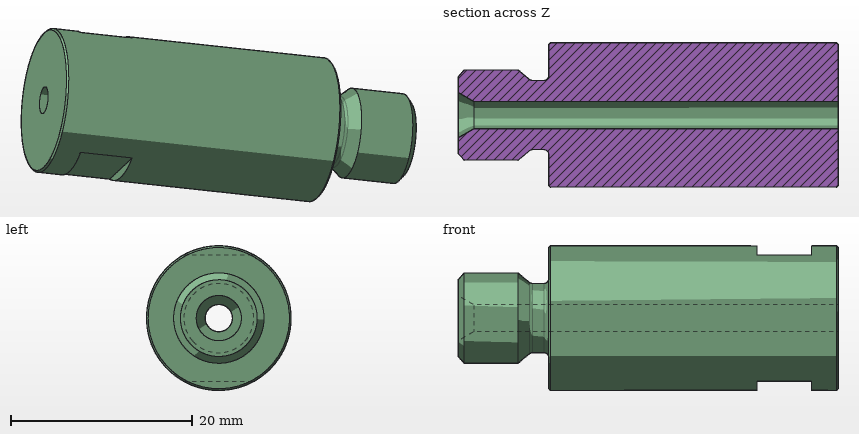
import cadquery as cq
import math

total_length = 42.0
body_diameter = 16.0
body_start = 10.0
body_chamfer = 0.2

spigot_diameter = 10.0
spigot_tip_diameter = 8.5
tip_chamfer_length = 0.67
spigot_land_end = 6.65
groove_diameter = 7.7
groove_start = 8.02
groove_fillet = 0.5

bore_diameter = 3.0
countersink_diameter = 5.0
countersink_angle = 60.0

flat_start = 33.0
flat_length = 6.0
across_flats = 14.0

body_radius = body_diameter / 2
spigot_radius = spigot_diameter / 2
groove_radius = groove_diameter / 2
bore_radius = bore_diameter / 2
countersink_radius = countersink_diameter / 2


def make_groove_arcs():
    """Return start, middle and end points of the two groove fillets."""
    slope = math.atan2(spigot_radius - groove_radius, groove_start - spigot_land_end)
    setback = groove_fillet * math.tan(slope / 2)
    center_r = groove_radius + groove_fillet

    def arc_point(center_x, angle):
        """Point on a fillet, turned by angle from its lowest point toward +X."""
        return (
            center_x + groove_fillet * math.sin(angle),
            center_r - groove_fillet * math.cos(angle),
        )

    cone_center = groove_start + setback
    wall_center = body_start - groove_fillet
    cone_arc = [arc_point(cone_center, angle) for angle in (-slope, -slope / 2, 0)]
    wall_arc = [arc_point(wall_center, angle) for angle in (0, math.pi / 4, math.pi / 2)]
    return cone_arc, wall_arc


def make_turned_blank():
    """Revolve the outer profile, drawn as (x, radius), about the X axis."""
    cone_arc, wall_arc = make_groove_arcs()
    return (
        cq.Workplane("XY")
        .moveTo(0, 0)
        .lineTo(0, spigot_tip_diameter / 2)
        .lineTo(tip_chamfer_length, spigot_radius)
        .lineTo(spigot_land_end, spigot_radius)
        .lineTo(*cone_arc[0])
        .threePointArc(cone_arc[1], cone_arc[2])
        .lineTo(*wall_arc[0])
        .threePointArc(wall_arc[1], wall_arc[2])
        .lineTo(body_start, body_radius - body_chamfer)
        .lineTo(body_start + body_chamfer, body_radius)
        .lineTo(total_length - body_chamfer, body_radius)
        .lineTo(total_length, body_radius - body_chamfer)
        .lineTo(total_length, 0)
        .close()
        .revolve(360, (0, 0, 0), (1, 0, 0))
    )


def make_bore():
    """Through bore that widens to the countersink at the spigot tip."""
    half_angle = math.radians(countersink_angle / 2)
    countersink_depth = (countersink_radius - bore_radius) / math.tan(half_angle)
    return (
        cq.Workplane("XY")
        .polyline([
            (0, 0),
            (0, countersink_radius),
            (countersink_depth, bore_radius),
            (total_length, bore_radius),
            (total_length, 0),
        ])
        .close()
        .revolve(360, (0, 0, 0), (1, 0, 0))
    )


def make_flat_cutter(side):
    """Block beyond one wrench flat; side is +1 for top and -1 for bottom."""
    height = body_radius
    center_x = flat_start + flat_length / 2
    center_z = side * (across_flats + height) / 2
    return (
        cq.Workplane("XY")
        .box(flat_length, body_diameter, height)
        .translate((center_x, 0, center_z))
    )


result = make_turned_blank().cut(make_bore())
for side in (1, -1):
    result = result.cut(make_flat_cutter(side))